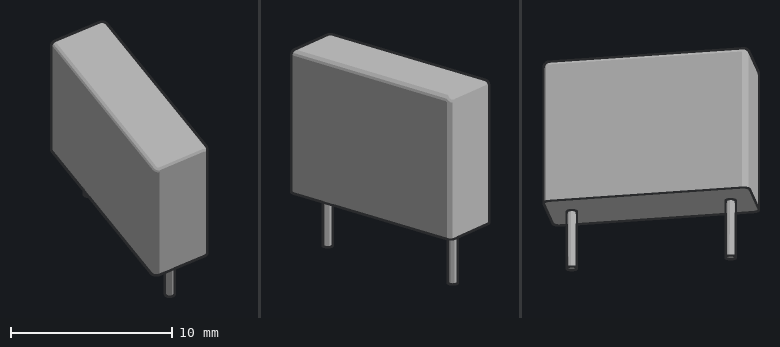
import cadquery as cq

total_height = 13.3
case_length = 13.0
case_width = 4.0
pin_length = 3.79
case_height = total_height - pin_length

edge_radius = 0.4

pin_diameter = 0.64
pin_pitch = 10.0


def make_case():
    """Block standing on Z = 0 with rounded upright and top edges."""
    block = cq.Workplane("XY").box(
        case_length, case_width, case_height, centered=(True, True, False)
    )
    return block.edges("|Z or >Z").fillet(edge_radius)


def make_pin(x_position):
    """Straight pin hanging from the underside of the case."""
    return cq.Workplane("XY").center(x_position, 0).circle(pin_diameter / 2).extrude(-pin_length)


case = make_case()
pins = []
for side in (-1, 1):
    pins.append(make_pin(side * pin_pitch / 2))

result = cq.Compound.makeCompound([case.val(), *[pin.val() for pin in pins]])